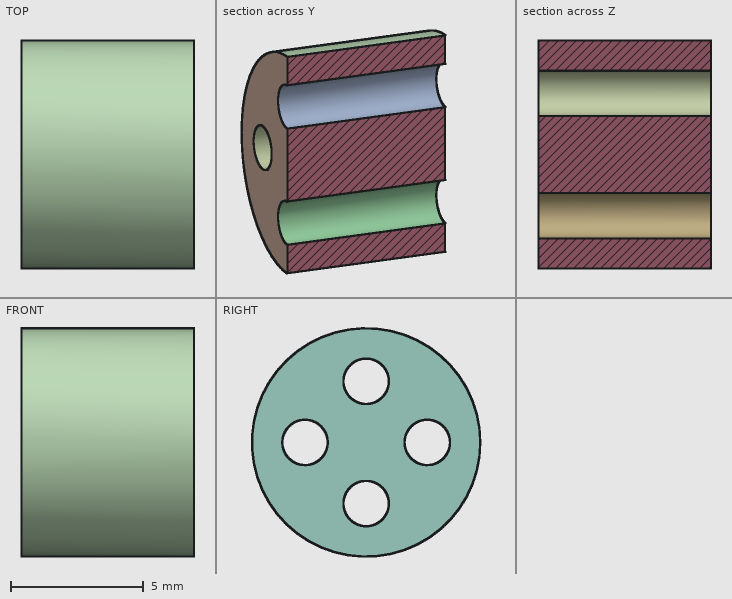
import cadquery as cq

length = 6.5
outer_diameter = 8.6
hole_diameter = 1.7
hole_circle_radius = 2.3
hole_count = 4
full_turn = 360


def make_body():
    """Cylinder along X, starting at the YZ plane."""
    return cq.Workplane("YZ").circle(outer_diameter / 2).extrude(length)


def make_holes():
    """Through holes evenly spaced around the X axis, the first on the Y axis."""
    return (
        cq.Workplane("YZ")
        .polarArray(hole_circle_radius, 0, full_turn, hole_count)
        .circle(hole_diameter / 2)
        .extrude(length)
    )


result = make_body().cut(make_holes())